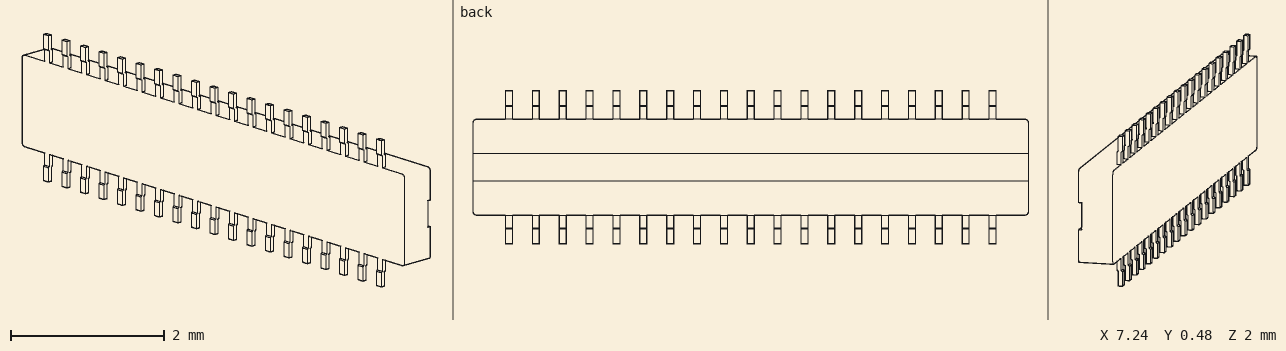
import cadquery as cq

housing_length = 7.24
housing_height = 1.25
housing_depth = 0.46
total_height = 2.0
corner_radius = 0.05

groove_height = 0.36
groove_depth = 0.04

contact_count = 19
contact_row_length = 6.3
contact_width = 0.095
contact_thickness = 0.06
contact_step = 0.017
step_height = 0.015
tip_length = 0.195
contact_embed = 0.07

contact_pitch = contact_row_length / (contact_count - 1)
total_depth = housing_depth + contact_step
front_y = -total_depth / 2 + contact_step
rear_y = total_depth / 2


def make_housing():
    """Block with rounded end corners and a groove along its rear face."""
    block = (
        cq.Workplane("XY")
        .box(housing_length, housing_depth, housing_height)
        .edges("|Y")
        .fillet(corner_radius)
        .translate((0, (front_y + rear_y) / 2, 0))
    )
    groove = (
        cq.Workplane("XY")
        .box(housing_length, 2 * groove_depth, groove_height)
        .translate((0, rear_y, 0))
    )
    return block.cut(groove)


def make_upper_contact(x_center):
    """Contact tail that rises from the top face and steps forward near its tip."""
    root_z = housing_height / 2 - contact_embed
    tip_z = total_height / 2
    step_top_z = tip_z - tip_length
    step_bottom_z = step_top_z - step_height
    tip_front_y = front_y - contact_step
    side_profile = [
        (front_y, root_z),
        (front_y, step_bottom_z),
        (tip_front_y, step_top_z),
        (tip_front_y, tip_z),
        (tip_front_y + contact_thickness, tip_z),
        (tip_front_y + contact_thickness, step_top_z),
        (front_y + contact_thickness, step_bottom_z),
        (front_y + contact_thickness, root_z),
    ]
    return (
        cq.Workplane("YZ")
        .polyline(side_profile)
        .close()
        .extrude(contact_width / 2, both=True)
        .translate((x_center, 0, 0))
    )


result = make_housing()
first_contact_x = -contact_row_length / 2
for index in range(contact_count):
    upper_contact = make_upper_contact(first_contact_x + index * contact_pitch)
    lower_contact = upper_contact.mirror("XY")
    result = result.union(upper_contact).union(lower_contact)